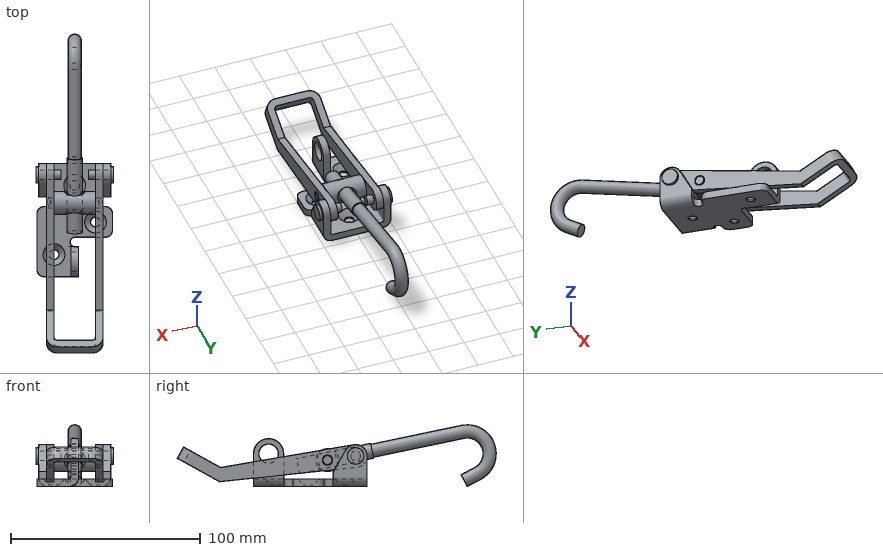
import cadquery as cq
import math


SHEET = 4.0
BEND_OUTER = 5.0
BEND_INNER = BEND_OUTER - SHEET

BASE_HALF_WIDTH = 20.0
BASE_LENGTH = 59.9
BASE_CORNER = 4.0
EAR_OUTER_X = 19.0
EAR_LENGTH = 17.8
EAR_SLOPE = 60

TAB_WIDTH = 16.0
TAB_REAR_Y = -BASE_LENGTH + TAB_WIDTH
TAB_FACE_X = SHEET / 2
TAB_EYE_Z = 17.3
TAB_EYE_RADIUS = 5.0

RELIEF_WIDTH = 4.9
EAR_RELIEF_DEPTH = 6.4
TAB_RELIEF_DEPTH = 4.4
RELIEF_RADIUS = RELIEF_WIDTH / 2
EAR_RELIEF_Y = -EAR_LENGTH - RELIEF_RADIUS
TAB_RELIEF_Y = TAB_REAR_Y + RELIEF_RADIUS

SCREW_RADIUS = 2.5
COUNTERSINK_RADIUS = 5.7
COUNTERSINK_ANGLE = 90
SCREW_X = 11.0
SCREW_PLACES = [(0, -11.6), (SCREW_X, -31.0), (-SCREW_X, -48.1)]

PIVOT_Y = -6.0
PIVOT_Z = 16.1
PIVOT_END_RADIUS = 6.0
RIVET_RADIUS = 2.5
RIVET_HEAD_RADIUS = 4.4
RIVET_HEAD_X = 20.5
RIVET_END_X = 7.2

LEVER_OUTER_X = EAR_OUTER_X - SHEET
LEVER_INNER_X = LEVER_OUTER_X - SHEET
LEVER_CORNER = 6.0
KNEE_TOP = (-77.2, 10.1)
KNEE_BOTTOM = (-77.7, 2.5)
HANDLE_ANGLE = 29
HANDLE_END_Y = -100.0

BLOCK_REACH = 134.5

TRUNNION_Y = -20.8
TRUNNION_Z = 14.0
TRUNNION_RADIUS = 6.0
JOURNAL_RADIUS = 2.7
JOURNAL_CHAMFER = 0.3
BORE_CHAMFER = 1.3

ROD_TILT = 11.8
ROD_RADIUS = 3.5
THREAD_RADIUS = 4.0
THREAD_FRONT = 15.8
THREAD_REAR = 24.0
SHAFT_END = 72.8
HOOK_RADIUS = 11.8
HOOK_TURN = 164
HOOK_TAIL = 8.0


def tangent_touch(point, center, radius, side):
    """Point where the line from `point` touches a circle; `side` (+1 or -1) picks which of the two."""
    dy = point[0] - center[0]
    dz = point[1] - center[1]
    angle = math.atan2(dz, dy) + side * math.acos(radius / math.hypot(dy, dz))
    return (center[0] + radius * math.cos(angle), center[1] + radius * math.sin(angle))


def x_cylinder(y, z, radius, x_start, x_end):
    """Cylinder along X from x_start to x_end."""
    return cq.Workplane("YZ", origin=(x_start, y, z)).circle(radius).extrude(x_end - x_start)


def bent_flange(face_x, y_front, y_rear, height):
    """Flange bent up from the plate, with its outer face at +face_x, up to a plain top edge."""
    bend_x = face_x - BEND_OUTER
    half = math.sqrt(0.5)
    return (
        cq.Workplane("XZ", origin=(0, y_rear, 0))
        .moveTo(bend_x, 0)
        .threePointArc((bend_x + BEND_OUTER * half, BEND_OUTER * (1 - half)), (face_x, BEND_OUTER))
        .lineTo(face_x, height)
        .lineTo(face_x - SHEET, height)
        .lineTo(face_x - SHEET, BEND_OUTER)
        .threePointArc((bend_x + BEND_INNER * half, BEND_OUTER - BEND_INNER * half), (bend_x, SHEET))
        .close()
        .extrude(y_rear - y_front)
    )


def make_ear():
    """Right-hand pivot ear: rounded over the pivot, sloping down to the front."""
    slope = math.radians(EAR_SLOPE)
    touch_y = PIVOT_Y - PIVOT_END_RADIUS * math.sin(slope)
    touch_z = PIVOT_Z + PIVOT_END_RADIUS * math.cos(slope)
    foot_z = touch_z - (EAR_LENGTH + touch_y) * math.tan(slope)
    outline = (
        cq.Workplane("YZ")
        .moveTo(0, 0)
        .lineTo(0, PIVOT_Z)
        .threePointArc((PIVOT_Y, PIVOT_Z + PIVOT_END_RADIUS), (touch_y, touch_z))
        .lineTo(-EAR_LENGTH, foot_z)
        .lineTo(-EAR_LENGTH, SHEET)
        .lineTo(EAR_RELIEF_Y, SHEET)
        .lineTo(EAR_RELIEF_Y, 0)
        .close()
        .extrude(EAR_OUTER_X)
    )
    flange = bent_flange(EAR_OUTER_X, EAR_RELIEF_Y, 0, PIVOT_Z + PIVOT_END_RADIUS)
    ear = flange.intersect(outline).cut(ear_relief())
    return ear.cut(x_cylinder(PIVOT_Y, PIVOT_Z, RIVET_RADIUS, 0, EAR_OUTER_X))


def make_eye_tab():
    """Upright tab with a round top and an eye hole."""
    eye_y = -BASE_LENGTH + TAB_WIDTH / 2
    round_radius = TAB_WIDTH / 2
    flange = bent_flange(TAB_FACE_X, -BASE_LENGTH, TAB_RELIEF_Y, TAB_EYE_Z + round_radius)
    outline = (
        cq.Workplane("YZ", origin=(TAB_FACE_X - BEND_OUTER, 0, 0))
        .moveTo(-BASE_LENGTH, 0)
        .lineTo(-BASE_LENGTH, TAB_EYE_Z)
        .threePointArc((eye_y, TAB_EYE_Z + round_radius), (TAB_REAR_Y, TAB_EYE_Z))
        .lineTo(TAB_REAR_Y, SHEET)
        .lineTo(TAB_RELIEF_Y, SHEET)
        .lineTo(TAB_RELIEF_Y, 0)
        .close()
        .extrude(BEND_OUTER)
    )
    eye = x_cylinder(eye_y, TAB_EYE_Z, TAB_EYE_RADIUS, -TAB_FACE_X, TAB_FACE_X)
    return flange.intersect(outline).cut(eye).cut(tab_relief())


def relief_slot(wall_x, middle_y):
    """Cutter for a bend relief: half-round end at wall_x, open toward +X."""
    round_x = wall_x + RELIEF_RADIUS
    return (
        cq.Workplane("XY")
        .moveTo(BASE_HALF_WIDTH, middle_y + RELIEF_RADIUS)
        .lineTo(round_x, middle_y + RELIEF_RADIUS)
        .threePointArc((wall_x, middle_y), (round_x, middle_y - RELIEF_RADIUS))
        .lineTo(BASE_HALF_WIDTH, middle_y - RELIEF_RADIUS)
        .close()
        .extrude(SHEET)
    )


def ear_relief():
    return relief_slot(EAR_OUTER_X - EAR_RELIEF_DEPTH, EAR_RELIEF_Y)


def tab_relief():
    return relief_slot(TAB_FACE_X - TAB_RELIEF_DEPTH, TAB_RELIEF_Y)


def make_plate():
    """Flat of the bracket: a strip between the ears, then wings with rounded corners."""
    ear_bend_x = EAR_OUTER_X - BEND_OUTER
    tab_bend_x = TAB_FACE_X - BEND_OUTER
    plate = (
        cq.Workplane("XY")
        .polyline(
            [
                (-ear_bend_x, 0),
                (ear_bend_x, 0),
                (ear_bend_x, EAR_RELIEF_Y),
                (BASE_HALF_WIDTH, EAR_RELIEF_Y),
                (BASE_HALF_WIDTH, TAB_RELIEF_Y),
                (tab_bend_x, TAB_RELIEF_Y),
                (tab_bend_x, -BASE_LENGTH),
                (-BASE_HALF_WIDTH, -BASE_LENGTH),
                (-BASE_HALF_WIDTH, EAR_RELIEF_Y),
                (-ear_bend_x, EAR_RELIEF_Y),
            ]
        )
        .close()
        .extrude(SHEET)
    )
    plate = plate.cut(ear_relief()).cut(ear_relief().mirror("YZ")).cut(tab_relief())
    return plate.edges("|Z and (>X or <X)").fillet(BASE_CORNER)


def make_bracket():
    right_ear = make_ear()
    bracket = make_plate().union(right_ear).union(right_ear.mirror("YZ")).union(make_eye_tab()).clean()
    return (
        bracket.faces("<Z")
        .workplane(offset=-SHEET, origin=(0, 0, 0))
        .transformed(rotate=(180, 0, 0))
        .pushPoints(SCREW_PLACES)
        .cskHole(2 * SCREW_RADIUS, 2 * COUNTERSINK_RADIUS, COUNTERSINK_ANGLE)
    )


def handle_block(end, half_width, inset, corner):
    """Block lying along the handle, `inset` short of its end, with two rounded end corners."""
    angle = math.radians(HANDLE_ANGLE)
    plane = cq.Plane(origin=(0, *end), xDir=(1, 0, 0), normal=(0, math.sin(angle), math.cos(angle)))
    return (
        cq.Workplane(plane)
        .moveTo(-half_width, BLOCK_REACH)
        .lineTo(-half_width, inset + corner)
        .radiusArc((-half_width + corner, inset), -corner)
        .lineTo(half_width - corner, inset)
        .radiusArc((half_width, inset + corner), -corner)
        .lineTo(half_width, BLOCK_REACH)
        .close()
        .extrude(BLOCK_REACH, both=True)
    )


def make_lever():
    """U-shaped lever: two tapered arms joined by a cross bar at the end of the raised handle."""
    angle = math.radians(HANDLE_ANGLE)
    along = (-math.cos(angle), math.sin(angle))
    reach = (HANDLE_END_Y - KNEE_BOTTOM[0]) / along[0]
    end_bottom = (HANDLE_END_Y, KNEE_BOTTOM[1] + reach * along[1])
    top_reach = (end_bottom[0] - KNEE_TOP[0]) * along[0] + (end_bottom[1] - KNEE_TOP[1]) * along[1]
    end_top = (KNEE_TOP[0] + top_reach * along[0], KNEE_TOP[1] + top_reach * along[1])
    pivot = (PIVOT_Y, PIVOT_Z)
    side = (
        cq.Workplane("YZ", origin=(-LEVER_OUTER_X, 0, 0))
        .moveTo(*tangent_touch(KNEE_TOP, pivot, PIVOT_END_RADIUS, -1))
        .threePointArc(
            (PIVOT_Y + PIVOT_END_RADIUS, PIVOT_Z), tangent_touch(KNEE_BOTTOM, pivot, PIVOT_END_RADIUS, 1)
        )
        .lineTo(*KNEE_BOTTOM)
        .lineTo(*end_bottom)
        .lineTo(*end_top)
        .lineTo(*KNEE_TOP)
        .close()
        .extrude(2 * LEVER_OUTER_X)
    )
    lever = side.intersect(handle_block(end_bottom, LEVER_OUTER_X, 0, LEVER_CORNER))
    lever = lever.cut(handle_block(end_bottom, LEVER_INNER_X, SHEET, LEVER_CORNER - SHEET))
    lever = lever.cut(x_cylinder(PIVOT_Y, PIVOT_Z, RIVET_RADIUS, -LEVER_OUTER_X, LEVER_OUTER_X))
    return lever.cut(x_cylinder(TRUNNION_Y, TRUNNION_Z, JOURNAL_RADIUS, -LEVER_OUTER_X, LEVER_OUTER_X))


def rod_axis():
    """Unit direction (Y, Z) of the straight rod, rising to the rear."""
    tilt = math.radians(ROD_TILT)
    return (math.cos(tilt), math.sin(tilt))


def on_rod(distance):
    """Point (Y, Z) on the rod axis, at a distance behind the trunnion axis."""
    axis = rod_axis()
    return (TRUNNION_Y + distance * axis[0], TRUNNION_Z + distance * axis[1])


def rod_cylinder(radius, start, end):
    """Cylinder on the rod axis between two distances behind the trunnion axis."""
    plane = cq.Plane(origin=(0, *on_rod(start)), xDir=(1, 0, 0), normal=(0, *rod_axis()))
    return cq.Workplane(plane).circle(radius).extrude(end - start)


def make_thread():
    return rod_cylinder(THREAD_RADIUS, -THREAD_FRONT, THREAD_REAR)


def make_trunnion():
    """Barrel between the lever arms with a journal in each arm, with a chamfered bore for the rod."""
    journals = x_cylinder(TRUNNION_Y, TRUNNION_Z, JOURNAL_RADIUS, -LEVER_OUTER_X, LEVER_OUTER_X)
    journals = journals.edges().chamfer(JOURNAL_CHAMFER)
    barrel = x_cylinder(TRUNNION_Y, TRUNNION_Z, TRUNNION_RADIUS, -LEVER_INNER_X, LEVER_INNER_X)
    trunnion = barrel.union(journals).cut(make_thread())
    for side in (-1, 1):
        rim = cq.Vector(0, *on_rod(side * TRUNNION_RADIUS))
        inward = cq.Vector(0, *rod_axis()) * -side
        cone = cq.Solid.makeCone(THREAD_RADIUS + BORE_CHAMFER, THREAD_RADIUS, BORE_CHAMFER, rim, inward)
        trunnion = trunnion.cut(cq.Workplane(cone))
    return trunnion


def make_hook_rod():
    """Rod through the trunnion: thick threaded end, thinner shaft, hook and straight tail."""
    axis = rod_axis()
    hook_start = on_rod(SHAFT_END)
    center = (hook_start[0] + HOOK_RADIUS * axis[1], hook_start[1] - HOOK_RADIUS * axis[0])

    def on_hook(turn):
        angle = math.radians(90 + ROD_TILT - turn)
        return (center[0] + HOOK_RADIUS * math.cos(angle), center[1] + HOOK_RADIUS * math.sin(angle))

    hook_end = on_hook(HOOK_TURN)
    heading = math.radians(ROD_TILT - HOOK_TURN)
    tail_end = (hook_end[0] + HOOK_TAIL * math.cos(heading), hook_end[1] + HOOK_TAIL * math.sin(heading))
    path = (
        cq.Workplane("YZ")
        .moveTo(*on_rod(THREAD_REAR))
        .lineTo(*hook_start)
        .threePointArc(on_hook(HOOK_TURN / 2), hook_end)
        .lineTo(*tail_end)
    )
    plane = cq.Plane(origin=(0, *on_rod(THREAD_REAR)), xDir=(1, 0, 0), normal=(0, *axis))
    shaft = cq.Workplane(plane).circle(ROD_RADIUS).sweep(path)
    return make_thread().union(shaft)


def make_rivet(side):
    """Rivet through one ear and lever arm; `side` is +1 or -1 along X."""
    shank = x_cylinder(PIVOT_Y, PIVOT_Z, RIVET_RADIUS, side * RIVET_END_X, side * EAR_OUTER_X)
    head = x_cylinder(PIVOT_Y, PIVOT_Z, RIVET_HEAD_RADIUS, side * EAR_OUTER_X, side * RIVET_HEAD_X)
    return shank.union(head)


bracket = make_bracket()
lever = make_lever()
trunnion = make_trunnion()
hook_rod = make_hook_rod()
rivets = [make_rivet(side) for side in (-1, 1)]

result = cq.Compound.makeCompound(
    [bracket.val(), lever.val(), trunnion.val(), hook_rod.val(), *[rivet.val() for rivet in rivets]]
)